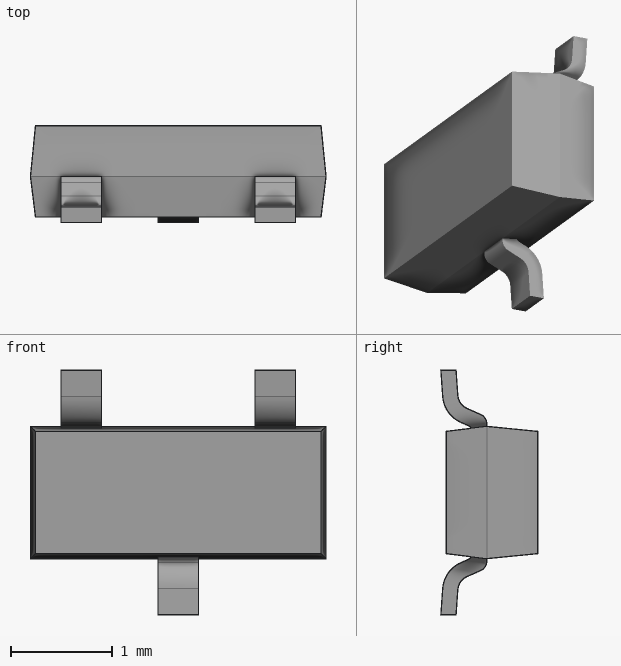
import cadquery as cq
import math


housing_length = 2.9
housing_height = 1.3
front_depth = 0.4
back_depth = 0.5
draft_inset = 0.05

lead_width = 0.4
lead_thickness = 0.15
lead_pitch = 0.95
lead_reach = 0.452
tip_height = 1.2
foot_bend_height = 0.963
foot_tilt = math.radians(4)
slope_tilt = math.radians(66)
foot_inner_radius = 0.15
foot_outer_radius = foot_inner_radius + lead_thickness
shoulder_outer_radius = 0.102
shoulder_inner_radius = 0.05
root_height = 0.58


def make_housing():
    """Two tapered halves that meet at the parting plane."""
    def half(end_y):
        return (
            cq.Workplane("XZ")
            .rect(housing_length, housing_height)
            .workplane(offset=-end_y)
            .rect(housing_length - 2 * draft_inset, housing_height - 2 * draft_inset)
            .loft(ruled=True)
        )

    return half(-front_depth).union(half(back_depth))


def on_arc(center, radius, angle):
    """Point on an arc, with the angle measured from +reach towards -height."""
    return (center[0] + radius * math.cos(angle), center[1] - radius * math.sin(angle))


def slope_height(point, reach):
    """Height, at a given reach, of the sloping line through a point."""
    return point[1] + (reach - point[0]) / math.tan(slope_tilt)


def shoulder_arc(face_reach, radius, slope_point):
    """Start, middle and end of the bend from a vertical face to the sloping line."""
    end_reach = face_reach + radius * (1 - math.cos(slope_tilt))
    end = (end_reach, slope_height(slope_point, end_reach))
    center = (face_reach + radius, end[1] - radius * math.sin(slope_tilt))
    start = (face_reach, center[1])
    middle = on_arc(center, radius, math.pi + slope_tilt / 2)
    return start, middle, end


def lead_profile():
    """Side outline of an upper lead; points are (reach in front of Y = 0, height)."""
    tip_outer = (lead_reach, tip_height)
    foot_tangent_height = foot_bend_height - foot_outer_radius * math.sin(foot_tilt)
    foot_tangent_reach = lead_reach - (tip_height - foot_tangent_height) * math.tan(foot_tilt)
    foot_center = (foot_tangent_reach - foot_outer_radius * math.cos(foot_tilt), foot_bend_height)
    tip_inner = (lead_reach - lead_thickness / math.cos(foot_tilt), tip_height)

    middle_angle = (foot_tilt + slope_tilt) / 2
    inner_foot, inner_middle, inner_slope = [
        on_arc(foot_center, foot_inner_radius, angle) for angle in (foot_tilt, middle_angle, slope_tilt)
    ]
    outer_foot, outer_middle, outer_slope = [
        on_arc(foot_center, foot_outer_radius, angle) for angle in (foot_tilt, middle_angle, slope_tilt)
    ]
    back_start, back_middle, back_end = shoulder_arc(0, shoulder_outer_radius, inner_slope)
    front_start, front_middle, front_end = shoulder_arc(lead_thickness, shoulder_inner_radius, outer_slope)

    return (
        cq.Workplane("YZ")
        .moveTo(0, root_height)
        .lineTo(*back_start)
        .threePointArc(back_middle, back_end)
        .lineTo(*inner_slope)
        .threePointArc(inner_middle, inner_foot)
        .lineTo(*tip_inner)
        .lineTo(*tip_outer)
        .lineTo(*outer_foot)
        .threePointArc(outer_middle, outer_slope)
        .lineTo(*front_end)
        .threePointArc(front_middle, front_start)
        .lineTo(lead_thickness, root_height)
        .close()
    )


def make_lead(center_x, points_down, housing):
    """Gull-wing lead whose root lies flush on the drafted housing face."""
    lead = lead_profile().extrude(lead_width / 2, both=True).mirror("XZ")
    if points_down:
        lead = lead.mirror("XY")
    return lead.translate((center_x, 0, 0)).cut(housing)


housing = make_housing()
lead_places = [(-lead_pitch, False), (lead_pitch, False), (0, True)]
leads = [make_lead(center_x, points_down, housing) for center_x, points_down in lead_places]

result = cq.Compound.makeCompound([housing.solids().val(), *[lead.solids().val() for lead in leads]])